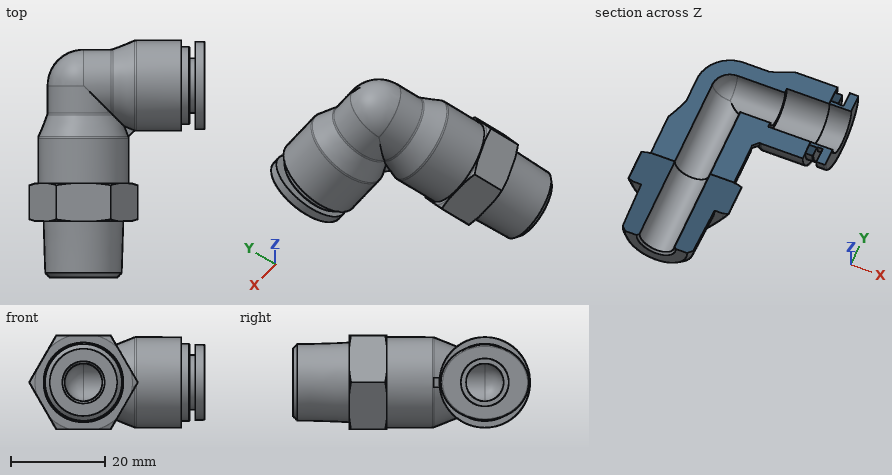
import cadquery as cq
import math


arm_length = 20.8
neck_radius = 7.65
body_diameter = 19.3
body_radius = body_diameter / 2
cone_start = 6.0
cone_end = 11.0
cone_blend = 1.0
gusset_thickness = 2.0

bore_diameter = 8.0
bore_radius = bore_diameter / 2
tube_socket_diameter = 10.15
tube_socket_start = cone_end

hex_across_flats = 20.0
hex_across_corners = hex_across_flats / math.cos(math.pi / 6)
hex_height = 8.0
hex_face_radius = 10.35
hex_chamfer_angle = math.radians(18)
thread_length = 12.0
thread_taper = 1 / 32
thread_root_radius = 8.5
thread_chamfer = 1.0
bore_countersink = 0.5

ring_diameter = 16.5
ring_length = 1.75
ring_chamfer = 0.2

sleeve_diameter = 11.7
sleeve_bore_diameter = 10.2
flange_start = 23.7
flange_end = 25.8
flange_width_y = 18.65
flange_width_z = 16.0
flange_blend = 0.3


def along_x(shape, start=0.0):
    """Turn a shape built along +Z onto +X, with its base at X = start."""
    return shape.rotate((0, 0, 0), (0, 1, 0), 90).translate((start, 0, 0))


def along_minus_y(shape, start=0.0):
    """Turn a shape built along +Z onto -Y, with its base at Y = -start."""
    return shape.rotate((0, 0, 0), (1, 0, 0), 90).translate((0, -start, 0))


def revolved(outline):
    """Revolve a closed (radius, height) outline about the Z axis."""
    return cq.Workplane("XZ").polyline(outline).close().revolve(360, (0, 0, 0), (0, 1, 0))


def make_arm():
    """One arm along +Z: slim neck, cone and wide body, blended at the cone ends."""
    arm = revolved([
        (0, 0),
        (neck_radius, 0),
        (neck_radius, cone_start),
        (body_radius, cone_end),
        (body_radius, arm_length),
        (0, arm_length),
    ])
    return arm.faces("%CONE").edges("%CIRCLE").fillet(cone_blend)


def make_gusset():
    """Thin plate bridging the inner corner between the two cones."""
    cone_angle = math.atan2(body_radius - neck_radius, cone_end - cone_start)
    blend_setback = cone_blend * math.tan(cone_angle / 2)
    tip = cone_end - blend_setback * math.cos(cone_angle)
    tip_radius = body_radius - blend_setback * math.sin(cone_angle)
    return (
        cq.Workplane("XY")
        .polyline([(bore_radius, -bore_radius), (tip, -bore_radius), (tip, -tip_radius),
                   (tip_radius, -tip), (bore_radius, -tip)])
        .close()
        .extrude(gusset_thickness / 2, both=True)
    )


def make_passage():
    """Elbow bore with a spherical corner and a wider tube socket."""
    bore = cq.Workplane("XY").circle(bore_radius).extrude(arm_length)
    socket = (
        cq.Workplane("XY")
        .circle(tube_socket_diameter / 2)
        .extrude(arm_length - tube_socket_start)
    )
    corner = cq.Workplane("XY").sphere(bore_radius)
    return (
        along_x(bore)
        .union(along_minus_y(bore))
        .union(corner)
        .union(along_x(socket, tube_socket_start))
    )


def make_elbow():
    arm = make_arm()
    corner = cq.Workplane("XY").sphere(neck_radius)
    outside = along_x(arm).union(along_minus_y(arm)).union(corner).union(make_gusset())
    return outside.cut(make_passage())


def make_hex():
    """Hexagon with corners on X, chamfered conically at both ends."""
    corner_radius = hex_across_corners / 2
    corner_drop = (corner_radius - hex_face_radius) * math.tan(hex_chamfer_angle)
    envelope = revolved([
        (0, 0),
        (hex_face_radius, 0),
        (corner_radius, corner_drop),
        (corner_radius, hex_height - corner_drop),
        (hex_face_radius, hex_height),
        (0, hex_height),
    ])
    prism = cq.Workplane("XY").polygon(6, hex_across_corners).extrude(hex_height)
    return prism.intersect(envelope)


def make_stud():
    """Hexagon and tapered, chamfered thread with a countersunk through bore."""
    stud_length = hex_height + thread_length
    chamfer_start = stud_length - thread_chamfer
    thread_tip_radius = thread_root_radius - thread_taper * (thread_length - thread_chamfer)
    thread = revolved([
        (0, hex_height),
        (thread_root_radius, hex_height),
        (thread_tip_radius, chamfer_start),
        (thread_tip_radius - thread_chamfer, stud_length),
        (0, stud_length),
    ])
    bore = revolved([
        (0, 0),
        (bore_radius, 0),
        (bore_radius, stud_length - bore_countersink),
        (bore_radius + bore_countersink, stud_length),
        (0, stud_length),
    ])
    return along_minus_y(make_hex().union(thread).cut(bore), arm_length)


def make_end_ring():
    """Ring seated on the end of the tube arm, around the sleeve."""
    ring = (
        cq.Workplane("XY")
        .circle(ring_diameter / 2)
        .extrude(ring_length)
        .faces(">Z")
        .chamfer(ring_chamfer)
    )
    hole = cq.Workplane("XY").circle(sleeve_diameter / 2).extrude(ring_length)
    return along_x(ring.cut(hole), arm_length)


def make_release_sleeve():
    """Round sleeve through the ring, with an oval flange at its outer end."""
    sleeve_length = flange_end - arm_length
    flange_offset = flange_start - arm_length
    sleeve = cq.Workplane("XY").circle(sleeve_diameter / 2).extrude(sleeve_length)
    flange = (
        cq.Workplane("XY")
        .workplane(offset=flange_offset)
        .ellipse(flange_width_z / 2, flange_width_y / 2)
        .extrude(flange_end - flange_start)
        .faces(">Z")
        .edges()
        .fillet(flange_blend)
    )
    bore = cq.Workplane("XY").circle(sleeve_bore_diameter / 2).extrude(sleeve_length)
    return along_x(sleeve.union(flange).cut(bore), arm_length)


elbow = make_elbow()
stud = make_stud()
end_ring = make_end_ring()
release_sleeve = make_release_sleeve()

result = cq.Compound.makeCompound([
    elbow.val(),
    stud.val(),
    end_ring.val(),
    release_sleeve.val(),
])